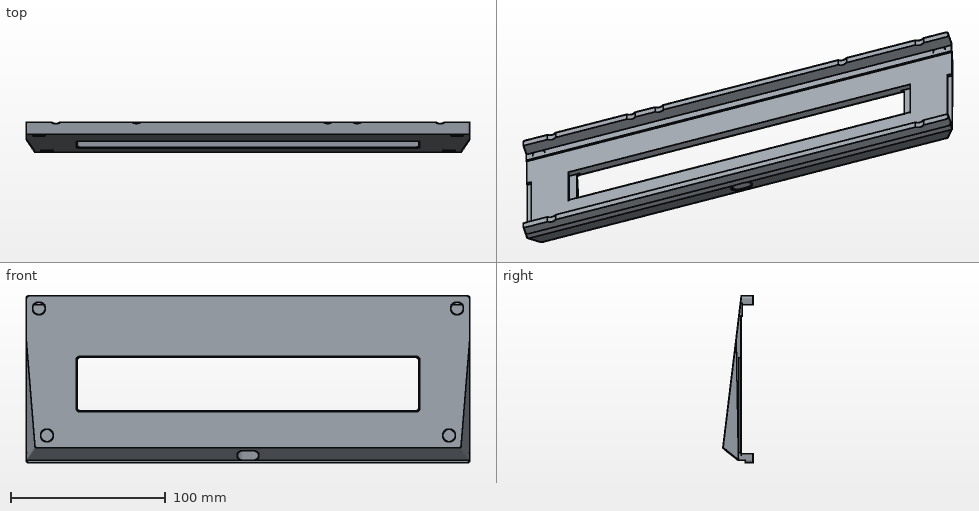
import cadquery as cq

LENGTH = 286.45
DEPTH = 19.53
HEIGHT = 107.95
HALF = LENGTH / 2

LIP_HEIGHT = 6.0
TOP_DEPTH = 7.65
NOSE_Z = 9.7
CHAMFER_DEPTH = 9.5
STEP_DEPTH = 5.2
STEP_HEIGHT = 1.65
BACK_DEPTH = 7.8
THICK_BACK_DEPTH = 6.9
THICK_BAND_Z = 94.8

BEVEL_INSET = 5.8
BEVEL_TOP_Z = 81.0
BEVEL_FILLET = 1.5
CORNER_RADIUS = 2.0
LIP_CORNER_RADIUS = 1.0

WINDOW_LENGTH = 220.6
WINDOW_HEIGHT = 34.6
WINDOW_Z = 50.9
WINDOW_RADIUS = 2.0
WINDOW_CHAMFER = 0.6
RELIEF_OVERHANG = 5.0
RELIEF_DEPTH = 10.8

SIDE_RECESS_Z = (6.7, 67.8)
SIDE_RECESS_DEPTH = 9.2
SIDE_RECESS_INSET = 3.0

POCKET_DIAMETER = 8.2
POCKET_DEPTH = 1.0
POCKETS = ((135.0, 99.8), (129.8, 17.8))

SLOT_LENGTH = 14.0
SLOT_WIDTH = 8.0
SLOT_TOP_Z = 9.0
SLOT_FRONT_DEPTH = 17.4

NOTCH_DEPTH = 0.9
NOTCH_WIDTH = 5.6
THROUGH_NOTCH_X = (-124.0, 124.0)
TOP_NOTCH_X = (-72.0, 51.4, 70.4)

FRONT_SLOPE = (DEPTH - TOP_DEPTH) / (HEIGHT - NOSE_Z)


def front_depth(z):
    """Depth of the sloped front face at height z."""
    return DEPTH - FRONT_SLOPE * (z - NOSE_Z)


def make_profile():
    """Extruded cross-section, without the side bevels."""
    outline = [
        (0, 0),
        (-STEP_DEPTH, 0),
        (-STEP_DEPTH, STEP_HEIGHT),
        (-CHAMFER_DEPTH, STEP_HEIGHT),
        (-DEPTH, NOSE_Z),
        (-TOP_DEPTH, HEIGHT),
        (0, HEIGHT),
        (0, HEIGHT - LIP_HEIGHT),
        (-THICK_BACK_DEPTH, HEIGHT - LIP_HEIGHT),
        (-THICK_BACK_DEPTH, THICK_BAND_Z),
        (-BACK_DEPTH, THICK_BAND_Z),
        (-BACK_DEPTH, LIP_HEIGHT),
        (0, LIP_HEIGHT),
    ]
    return cq.Workplane("YZ").polyline(outline).close().extrude(HALF, both=True)


def round_lip_ends(body):
    """Round the inner corners at the ends of both lips."""
    for side in (-1, 1):
        for z in (LIP_HEIGHT, HEIGHT - LIP_HEIGHT):
            corner = cq.selectors.NearestToPointSelector((side * HALF, -BACK_DEPTH / 2, z))
            body = body.edges(corner).fillet(LIP_CORNER_RADIUS)
    return body


def round_corners(body):
    """Round the four outer corners of the front outline."""
    outline = (
        cq.Workplane("XZ")
        .center(0, HEIGHT / 2)
        .rect(LENGTH, HEIGHT)
        .extrude(DEPTH)
        .edges("|Y")
        .fillet(CORNER_RADIUS)
    )
    return body.intersect(outline)


def bevel_cutter():
    """Block that lies outside the slanted face on the -X side."""
    low = cq.Vector(-HALF, -CHAMFER_DEPTH, STEP_HEIGHT)
    high = cq.Vector(-HALF, -front_depth(BEVEL_TOP_Z), BEVEL_TOP_Z)
    nose = cq.Vector(-HALF + BEVEL_INSET, -DEPTH, NOSE_Z)
    normal = (nose - low).cross(high - low)
    if normal.x > 0:
        normal = normal * -1
    plane = cq.Plane(origin=low, xDir=high - low, normal=normal)
    cutter_side = 3 * HEIGHT
    return cq.Workplane(plane).rect(cutter_side, cutter_side).extrude(HEIGHT)


def bevel_sides(body):
    cutter = bevel_cutter()
    body = body.cut(cutter).cut(cutter.mirror("YZ"))
    for side in (-1, 1):
        middle = (
            side * (HALF - BEVEL_INSET / 2),
            -(CHAMFER_DEPTH + DEPTH) / 2,
            (STEP_HEIGHT + NOSE_Z) / 2,
        )
        body = body.edges(cq.selectors.NearestToPointSelector(middle)).fillet(BEVEL_FILLET)
    return body


def cut_window(body):
    window = (
        cq.Workplane("XZ")
        .center(0, WINDOW_Z)
        .rect(WINDOW_LENGTH, WINDOW_HEIGHT)
        .extrude(DEPTH)
        .edges("|Y")
        .fillet(WINDOW_RADIUS)
    )
    body = body.cut(window)
    front_point = (0, -2 * DEPTH, HEIGHT / 2)
    front = body.faces(cq.selectors.NearestToPointSelector(front_point)).val()
    rim = front.innerWires()[0].Edges()
    return body.newObject(rim).chamfer(WINDOW_CHAMFER)


def cut_window_relief(body):
    """Widen the window behind its end walls, leaving a thin edge at the front."""
    relief = (
        cq.Workplane("XZ")
        .center(0, WINDOW_Z)
        .rect(WINDOW_LENGTH + 2 * RELIEF_OVERHANG, WINDOW_HEIGHT)
        .extrude(RELIEF_DEPTH)
    )
    return body.cut(relief)


def cut_side_recesses(body):
    bottom, top = SIDE_RECESS_Z
    for side in (-1, 1):
        recess = (
            cq.Workplane("XZ")
            .center(side * HALF, (bottom + top) / 2)
            .rect(2 * SIDE_RECESS_INSET, top - bottom)
            .extrude(SIDE_RECESS_DEPTH)
        )
        body = body.cut(recess)
    return body


def cut_pockets(body):
    for x, z in POCKETS:
        for side in (-1, 1):
            plane = cq.Plane(
                origin=(side * x, -front_depth(z), z),
                xDir=(1, 0, 0),
                normal=(0, -1, FRONT_SLOPE),
            )
            pocket = cq.Workplane(plane).circle(POCKET_DIAMETER / 2).extrude(-POCKET_DEPTH)
            body = body.cut(pocket)
    return body


def cut_slot(body):
    slot = (
        cq.Workplane("XY")
        .center(0, SLOT_WIDTH / 2 - SLOT_FRONT_DEPTH)
        .slot2D(SLOT_LENGTH, SLOT_WIDTH)
        .extrude(SLOT_TOP_Z)
    )
    return body.cut(slot)


def notch(x, bottom):
    """Cutter for an arc-shaped notch in the back, from height bottom up to the top."""
    return (
        cq.Workplane("XY", origin=(x, 0, bottom))
        .moveTo(-NOTCH_WIDTH / 2, 0)
        .threePointArc((0, -NOTCH_DEPTH), (NOTCH_WIDTH / 2, 0))
        .close()
        .extrude(HEIGHT - bottom)
    )


def cut_notches(body):
    for x in THROUGH_NOTCH_X:
        body = body.cut(notch(x, 0))
    for x in TOP_NOTCH_X:
        body = body.cut(notch(x, HEIGHT - LIP_HEIGHT))
    return body


result = make_profile()
result = round_lip_ends(result)
result = bevel_sides(result)
result = round_corners(result)
result = cut_window(result)
result = cut_window_relief(result)
result = cut_side_recesses(result)
result = cut_pockets(result)
result = cut_slot(result)
result = cut_notches(result)